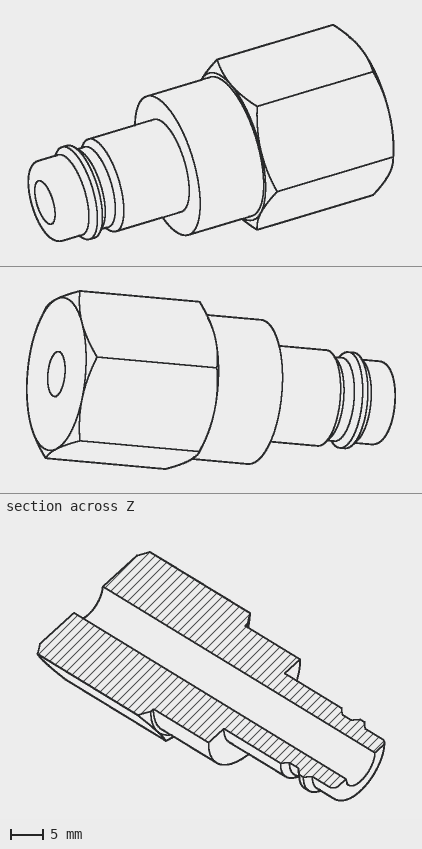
import cadquery as cq
import math

total_length = 55.0
across_flats = 24.0
across_corners = across_flats / math.cos(math.radians(30))

hex_length = 22.45
collar_length = 11.1
stem_length = 11.45
groove_width = 1.75
ridge_width = 0.9
step_length = 1.0

collar_radius = 11.35
stem_radius = 7.55
neck_radius = stem_radius - step_length
bore_radius = 3.5
tip_fillet = 1.0
hex_chamfer_angle = 30.0

back_y = total_length / 2
tip_y = -total_length / 2
hex_front_y = back_y - hex_length
collar_front_y = hex_front_y - collar_length
stem_end_y = collar_front_y - stem_length
groove_back_y = stem_end_y - step_length
groove_front_y = groove_back_y - groove_width
ridge_back_y = groove_front_y - step_length
ridge_front_y = ridge_back_y - ridge_width
nose_back_y = ridge_front_y - step_length


def revolve_about_y(profile):
    """Revolve a closed XY profile a full turn about the Y axis."""
    return profile.close().revolve(360, (0, 0, 0), (0, 1, 0))


def make_hexagon():
    """Hexagon with corners on +X and -X, both ends chamfered to the flats."""
    prism = (
        cq.Workplane("XZ", origin=(0, back_y, 0))
        .polygon(6, across_corners)
        .extrude(hex_length)
    )
    flat_radius = across_flats / 2
    corner_radius = across_corners / 2
    chamfer_depth = (corner_radius - flat_radius) * math.tan(math.radians(hex_chamfer_angle))
    envelope = revolve_about_y(
        cq.Workplane("XY")
        .moveTo(0, hex_front_y)
        .lineTo(flat_radius, hex_front_y)
        .lineTo(corner_radius, hex_front_y + chamfer_depth)
        .lineTo(corner_radius, back_y - chamfer_depth)
        .lineTo(flat_radius, back_y)
        .lineTo(0, back_y)
    )
    return prism.intersect(envelope)


def make_plug():
    """Collar and stem with the locking groove, ridge and rounded tip."""
    fillet_middle = tip_fillet * (1 - math.sqrt(0.5))
    return revolve_about_y(
        cq.Workplane("XY")
        .moveTo(0, hex_front_y)
        .lineTo(collar_radius, hex_front_y)
        .lineTo(collar_radius, collar_front_y)
        .lineTo(stem_radius, collar_front_y)
        .lineTo(stem_radius, stem_end_y)
        .lineTo(neck_radius, groove_back_y)
        .lineTo(neck_radius, groove_front_y)
        .lineTo(stem_radius, ridge_back_y)
        .lineTo(stem_radius, ridge_front_y)
        .lineTo(neck_radius, nose_back_y)
        .lineTo(neck_radius, tip_y + tip_fillet)
        .threePointArc(
            (neck_radius - fillet_middle, tip_y + fillet_middle),
            (neck_radius - tip_fillet, tip_y),
        )
        .lineTo(0, tip_y)
    )


def make_bore():
    """Straight bore through the whole length."""
    return cq.Workplane("XZ", origin=(0, back_y, 0)).circle(bore_radius).extrude(total_length)


result = make_hexagon().union(make_plug()).cut(make_bore())